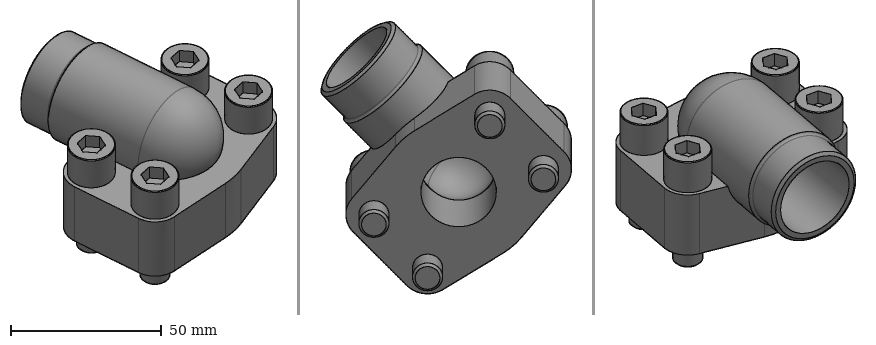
import cadquery as cq
import math


total_length = 76.45
flange_width = 71.0
flange_length = 53.1
total_height = 54.4

pipe_radius = 35.7 / 2
spigot_radius = 33.7 / 2
bore_radius = 27.3 / 2
spigot_length = 12.85
spigot_chamfer_length = 0.85
spigot_chamfer_depth = 1.2
shoulder_radius = pipe_radius - spigot_radius

flange_top = -3.8
flange_bottom = -28.05
port_radius = 25.0 / 2
tip_radius = flange_length / 2

screw_spacing_x = 26.2
screw_spacing_y = 52.4
head_radius = 16.0 / 2
head_height = 12.3
head_chamfer = 0.3
shank_radius = 10.0 / 2
shank_chamfer = 0.9
socket_across_flats = 8.1
socket_depth = 5.0

screw_x = screw_spacing_x / 2
screw_y = screw_spacing_y / 2
corner_radius = flange_width / 2 - screw_y
pipe_end = tip_radius - total_length
shoulder_x = pipe_end + spigot_length
screw_bottom = pipe_radius - total_height
head_top = flange_top + head_height


def polar(radius, angle):
    """X and Y of a point at a radius and angle from the origin."""
    return (radius * math.cos(angle), radius * math.sin(angle))


def make_pipe():
    """Solid pipe with a chamfered spigot, a filleted shoulder and a hemispherical end."""
    return (
        cq.Workplane("XY")
        .moveTo(pipe_end, 0)
        .lineTo(pipe_end, spigot_radius - spigot_chamfer_depth)
        .lineTo(pipe_end + spigot_chamfer_length, spigot_radius)
        .lineTo(shoulder_x - shoulder_radius, spigot_radius)
        .radiusArc((shoulder_x, pipe_radius), -shoulder_radius)
        .lineTo(0, pipe_radius)
        .radiusArc((pipe_radius, 0), pipe_radius)
        .close()
        .revolve(360, (0, 0, 0), (1, 0, 0))
    )


def make_flange():
    """Plate whose slanted sides are tangent to the corner arcs and the tip arcs."""
    centre_distance = math.hypot(screw_x, screw_y)
    centre_angle = math.atan2(screw_y, screw_x)
    side_normal = centre_angle - math.acos((tip_radius - corner_radius) / centre_distance)
    tip_x, tip_y = polar(tip_radius, side_normal)
    corner_dx, corner_dy = polar(corner_radius, side_normal)
    corner_x = screw_x + corner_dx
    corner_y = screw_y + corner_dy
    mid_dx, mid_dy = polar(corner_radius, (side_normal + math.pi / 2) / 2)
    mid_x = screw_x + mid_dx
    mid_y = screw_y + mid_dy
    edge_y = flange_width / 2
    return (
        cq.Workplane("XY")
        .workplane(offset=flange_bottom)
        .moveTo(0, -edge_y)
        .lineTo(screw_x, -edge_y)
        .threePointArc((mid_x, -mid_y), (corner_x, -corner_y))
        .lineTo(tip_x, -tip_y)
        .threePointArc((tip_radius, 0), (tip_x, tip_y))
        .lineTo(corner_x, corner_y)
        .threePointArc((mid_x, mid_y), (screw_x, edge_y))
        .lineTo(0, edge_y)
        .mirrorY()
        .extrude(flange_top - flange_bottom)
        .clean()
    )


def make_screw():
    """Socket-head screw on the Z axis, with its head seated on the flange top."""
    head = (
        cq.Workplane("XY")
        .workplane(offset=flange_top)
        .circle(head_radius)
        .extrude(head_height)
        .faces(">Z")
        .chamfer(head_chamfer)
    )
    shank = (
        cq.Workplane("XY")
        .workplane(offset=screw_bottom)
        .circle(shank_radius)
        .extrude(flange_top - screw_bottom)
        .faces("<Z")
        .chamfer(shank_chamfer)
    )
    socket_across_corners = socket_across_flats / math.cos(math.pi / 6)
    socket = (
        cq.Workplane("XY")
        .workplane(offset=head_top)
        .transformed(rotate=(0, 0, 90))
        .polygon(6, socket_across_corners)
        .extrude(-socket_depth)
    )
    return head.union(shank).cut(socket)


def make_passage():
    """Pipe bore with a spherical end, turning down through the flange port."""
    pipe_bore = cq.Workplane("YZ").workplane(offset=pipe_end).circle(bore_radius).extrude(-pipe_end)
    bend = cq.Workplane("XY").sphere(bore_radius)
    port = cq.Workplane("XY").workplane(offset=flange_bottom).circle(port_radius).extrude(-flange_bottom)
    return pipe_bore.union(bend).union(port)


body = make_pipe().union(make_flange()).cut(make_passage())

screw = make_screw()
for x in (-screw_x, screw_x):
    for y in (-screw_y, screw_y):
        body = body.union(screw.translate((x, y, 0)))

result = body